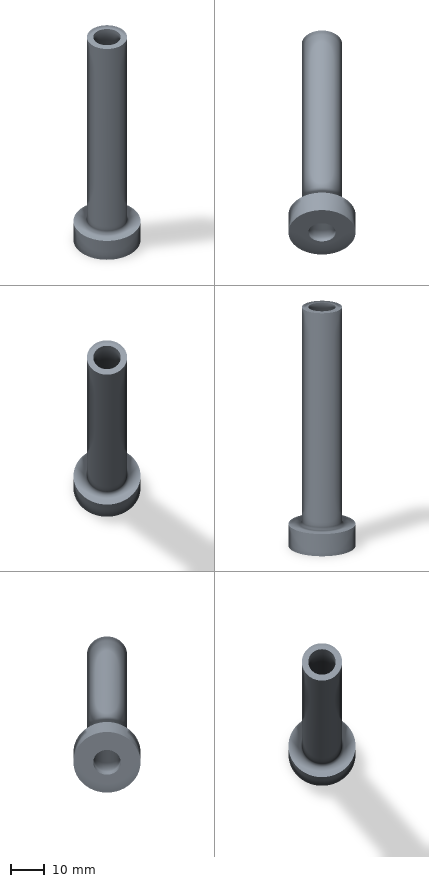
import cadquery as cq

total_height = 75.0
head_diameter = 20.0
head_height = 7.0
shank_diameter = 12.0
bore_diameter = 8.2

fillet_radius = 0.75

head_radius = head_diameter / 2
shank_radius = shank_diameter / 2
bore_radius = bore_diameter / 2

section = (
    cq.Workplane("XZ")
    .moveTo(bore_radius, 0)
    .lineTo(head_radius, 0)
    .lineTo(head_radius, head_height)
    .lineTo(shank_radius + fillet_radius, head_height)
    .radiusArc((shank_radius, head_height + fillet_radius), fillet_radius)
    .lineTo(shank_radius, total_height)
    .lineTo(bore_radius, total_height)
    .close()
)

result = section.revolve(360, (0, 0, 0), (0, 1, 0))